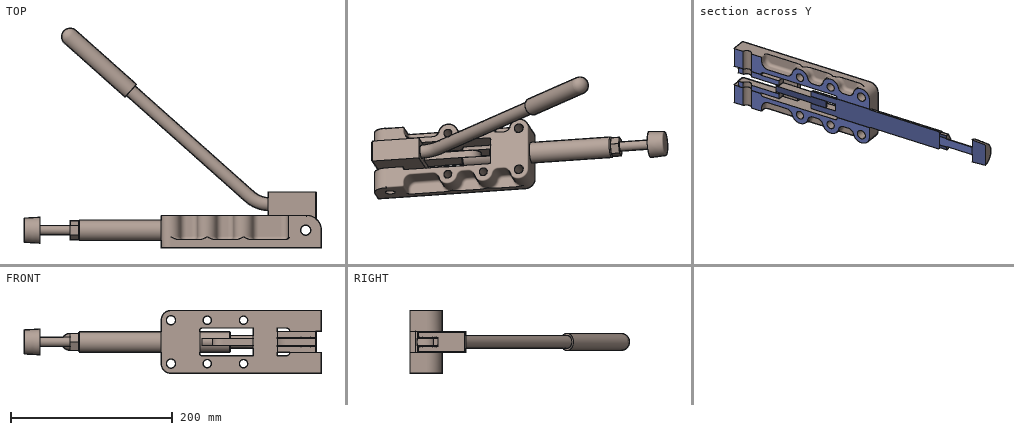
import cadquery as cq
import math


housing_left = 169.3
housing_right = 367.2
housing_width = 78.0
housing_front = -21.5
housing_back = 18.5
half_width = housing_width / 2
plate_back = housing_front + 10.0
end_radius = 18.5
back_edge_round = 1.5
overcut = 7.5

column_radius = 12.0
column_pitch = 44.8
column_xs = [housing_left + column_radius + i * column_pitch for i in range(3)]
bolt_z = half_width - column_radius
bolt_diameters = [11.0, 10.0, 10.0]

valley_depth = 15.0
valley_floor = half_width - valley_depth
valley_fillet = 7.5
end_wall_x = 326.5
end_wall_fillet = 9.0
end_wall_round = 2.0
plate_fillet = 3.5

cavity_left = 217.0
cavity_right = 328.0
cavity_width = 33.8
cavity_corner = 2.2
bridge_left = 282.8
bridge_right = 313.0
bridge_thickness = 6.5
pivot_x = 347.8
pivot_diameter = 12.0

plunger_left = 67.2
plunger_right = 255.2
plunger_radius = 13.0
plunger_chamfer = 1.5
plunger_slot_left = 219.5
nut_left = 57.0
nut_corner_diameter = 24.0
spindle_radius = 6.0
cap_length = 20.0
cap_front_radius = 15.0
cap_back_radius = 16.0
cap_round = 1.5

link_width = 8.8
link_half_height = plunger_radius
link_pin_x = 245.7
link_right = 360.0
link_arm_bottom = 7.5
link_arm_left = 322.8

lever_left = 301.5
lever_right = 361.5
lever_front = -12.5
lever_back = 47.5
lever_width = 26.0
lever_groove_width = 11.5
lever_chamfer = 1.5
rod_radius = 8.0
rod_y = 32.0
rod_bend_start = 304.0
rod_bend_radius = 39.0
rod_angle = math.radians(41.7)
rod_length = 296.5
grip_radius = 10.5
grip_length = 100.3


def box(x_range, y_range, width):
    """Block centred on Z = 0."""
    x0, x1 = x_range
    y0, y1 = y_range
    return cq.Workplane("XY").box(x1 - x0, y1 - y0, width).translate(((x0 + x1) / 2, (y0 + y1) / 2, 0))


def cylinder_x(x0, x1, radius):
    """Cylinder along the plunger axis."""
    return cq.Workplane("YZ", origin=(x0, 0, 0)).circle(radius).extrude(x1 - x0)


def cylinder_y(x, z, radius):
    """Hole cutter through the housing along Y."""
    start = (x, housing_front - overcut, z)
    length = housing_back - housing_front + 2 * overcut
    return cq.Workplane(cq.Plane(start, (1, 0, 0), (0, 1, 0))).circle(radius).extrude(length)


def pivot_cutter():
    """Lever pivot hole, along Z."""
    return cq.Workplane("XY").center(pivot_x, 0).circle(pivot_diameter / 2).extrude(half_width, both=True)


def column_tangency():
    """X offsets from a column centre to the foot of its fillet and to the tangent point, and the tangent Z."""
    centre_rise = valley_floor + valley_fillet - bolt_z
    centre_distance = column_radius + valley_fillet
    foot = math.sqrt(centre_distance**2 - centre_rise**2)
    share = column_radius / centre_distance
    return foot, foot * share, bolt_z + centre_rise * share


def valley_cutter(left_column, right_column):
    """Upper-side cutter between two columns, or from a column to the end wall."""
    top = half_width + overcut
    foot, tangent_x, tangent_z = column_tangency()
    outline = (
        cq.Workplane(cq.Plane((0, plate_back, 0), (1, 0, 0), (0, -1, 0)))
        .moveTo(left_column, top)
        .lineTo(left_column, half_width)
        .radiusArc((left_column + tangent_x, tangent_z), column_radius)
        .radiusArc((left_column + foot, valley_floor), -valley_fillet)
    )
    if right_column is None:
        outline = (
            outline.lineTo(end_wall_x - end_wall_fillet, valley_floor)
            .radiusArc((end_wall_x, valley_floor + end_wall_fillet), -end_wall_fillet)
            .lineTo(end_wall_x, half_width - end_wall_round)
            .radiusArc((end_wall_x + end_wall_round, half_width), end_wall_round)
            .lineTo(end_wall_x + end_wall_round, top)
        )
    else:
        outline = (
            outline.lineTo(right_column - foot, valley_floor)
            .radiusArc((right_column - tangent_x, tangent_z), -valley_fillet)
            .radiusArc((right_column, half_width), column_radius)
            .lineTo(right_column, top)
        )
    cutter = outline.close().extrude(-(housing_back + overcut - plate_back))
    return cutter.faces("<Y").edges().fillet(plate_fillet)


def round_back(body):
    """Round the top and bottom back edges up to where the end radius starts, then the end itself."""
    block = box(
        (housing_left, housing_right - end_radius), (housing_front, housing_back + overcut), housing_width
    )
    rounded = body.faces(">Y").edges("not(|Z)").fillet(back_edge_round).intersect(block)
    return body.edges("|Z and >X and >Y").fillet(end_radius).cut(block).union(rounded)


def make_housing():
    body = box((housing_left, housing_right), (housing_front, housing_back), housing_width)
    body = body.edges("|Y and <X").fillet(column_radius)
    cutters = [valley_cutter(left, right) for left, right in zip(column_xs, column_xs[1:] + [None])]
    for cutter in cutters:
        body = body.cut(cutter)
    for cutter in cutters:
        body = body.cut(cutter.mirror("XY"))
    body = round_back(body)

    depth = (housing_front - overcut, housing_back + overcut)
    cavity = box((cavity_left, cavity_right), depth, cavity_width)
    cavity = cavity.edges("|Y and <X").fillet(cavity_corner)
    cavity = cavity.edges("|Y and >X").fillet((cavity_width - lever_width) / 2)
    bridge = box(
        (bridge_left, bridge_right), (housing_front, housing_front + bridge_thickness), cavity_width
    )
    lever_slot = box((bridge_right, housing_right + overcut), depth, lever_width)
    body = body.cut(cavity.cut(bridge)).cut(lever_slot)

    for x, diameter in zip(column_xs, bolt_diameters):
        for z in (-bolt_z, bolt_z):
            body = body.cut(cylinder_y(x, z, diameter / 2))
    return body.cut(cylinder_x(housing_left, cavity_left, plunger_radius)).cut(pivot_cutter())


def make_plunger():
    body = cylinder_x(plunger_left, plunger_right, plunger_radius).faces("<X or >X").chamfer(plunger_chamfer)
    slot = box((plunger_slot_left, plunger_right), (-plunger_radius, plunger_radius), link_width)
    return body.cut(slot)


def make_nut():
    body = (
        cq.Workplane("YZ", origin=(nut_left, 0, 0))
        .polygon(6, nut_corner_diameter)
        .extrude(plunger_left - nut_left)
    )
    return body.cut(cylinder_x(nut_left, plunger_left, spindle_radius))


def make_spindle():
    return cylinder_x(cap_length, plunger_left, spindle_radius)


def make_cap():
    """Tapered pressure cap."""
    body = (
        cq.Workplane("XY")
        .polyline([(0, 0), (0, cap_front_radius), (cap_length, cap_back_radius), (cap_length, 0)])
        .close()
        .revolve(360, (0, 0, 0), (1, 0, 0))
    )
    return body.faces("<X").edges().fillet(cap_round)


def make_link():
    """Bar with a round plunger end and a relieved arm inside the lever."""
    relief_radius = link_arm_bottom + link_half_height
    return (
        cq.Workplane("XY", origin=(0, 0, -link_width / 2))
        .moveTo(link_pin_x, link_half_height)
        .threePointArc((link_pin_x - link_half_height, 0), (link_pin_x, -link_half_height))
        .lineTo(link_arm_left - relief_radius, -link_half_height)
        .radiusArc((link_arm_left, link_arm_bottom), relief_radius)
        .lineTo(link_right, link_arm_bottom)
        .lineTo(link_right, link_half_height)
        .close()
        .extrude(link_width)
    )


rod_direction = (-math.cos(rod_angle), math.sin(rod_angle))
bend_end = (
    rod_bend_start - rod_bend_radius * math.sin(rod_angle),
    rod_y + rod_bend_radius * (1 - math.cos(rod_angle)),
)


def along_rod(distance):
    """Point on the straight rod axis, measured from the end of the bend."""
    return (bend_end[0] + distance * rod_direction[0], bend_end[1] + distance * rod_direction[1], 0)


def rod_section(distance, radius, length):
    plane = cq.Plane(along_rod(distance), (0, 0, 1), (*rod_direction, 0))
    return cq.Workplane(plane).circle(radius).extrude(length)


def make_handle():
    """Grooved lever block with the bent rod fixed in its left face."""
    lever = box((lever_left, lever_right), (lever_front, lever_back), lever_width)
    lever = lever.faces(">X").chamfer(lever_chamfer)
    groove = box((lever_left, lever_right), (lever_front, link_half_height), lever_groove_width)
    lever = lever.cut(groove).cut(pivot_cutter())

    bend = (
        cq.Workplane("YZ", origin=(rod_bend_start, rod_y, 0))
        .circle(rod_radius)
        .revolve(math.degrees(rod_angle), (rod_bend_radius, 0, 0), (rod_bend_radius, -1, 0))
    )
    return lever.union(bend).union(rod_section(0, rod_radius, rod_length))


def make_grip():
    """Domed sleeve over the end of the rod."""
    sleeve_start = rod_length - grip_length
    dome = cq.Workplane("XY").sphere(grip_radius).translate(along_rod(rod_length))
    sleeve = rod_section(sleeve_start, grip_radius, grip_length).union(dome)
    return sleeve.cut(rod_section(sleeve_start, rod_radius, grip_length))


housing = make_housing()
plunger = make_plunger()
nut = make_nut()
spindle = make_spindle()
cap = make_cap()
link = make_link()
handle = make_handle()
grip = make_grip()

result = cq.Compound.makeCompound(
    [body.val() for body in (housing, plunger, nut, spindle, cap, link, handle, grip)]
)